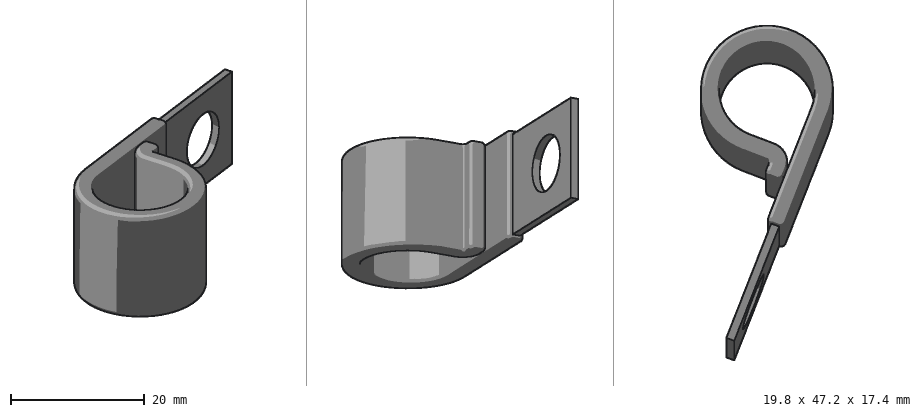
import cadquery as cq
import math


overall_length = 47.2
loop_outer_radius = 9.9
sleeve_thickness = 2.8
sleeve_width = 17.4
cover_thickness = 0.75
sleeve_end_y = 18.65
lip_bend_inner_radius = 0.4
lip_bend_x = -3.85
lip_end_y = 12.05
hole_diameter = 8.8

loop_inner_radius = loop_outer_radius - sleeve_thickness
lip_bend_outer_radius = lip_bend_inner_radius + sleeve_thickness
lip_bend_y = loop_inner_radius + lip_bend_outer_radius
lip_left_x = lip_bend_x - lip_bend_outer_radius
lip_right_x = lip_bend_x - lip_bend_inner_radius
strap_thickness = sleeve_thickness - 2 * cover_thickness
strap_width = sleeve_width - 2 * cover_thickness
tail_end_y = overall_length - loop_outer_radius
hole_y = tail_end_y - strap_width / 2
diagonal = math.sqrt(0.5)


def make_sleeve():
    """Straight leg, three-quarter loop and upturned lip, with every rim rounded."""
    outer_diagonal = loop_outer_radius * diagonal
    inner_diagonal = loop_inner_radius * diagonal
    bend_outer_diagonal = lip_bend_outer_radius * diagonal
    bend_inner_diagonal = lip_bend_inner_radius * diagonal
    blank = (
        cq.Workplane("XY")
        .workplane(offset=-sleeve_width / 2)
        .moveTo(-loop_outer_radius, sleeve_end_y)
        .lineTo(-loop_outer_radius, 0)
        .threePointArc((outer_diagonal, -outer_diagonal), (0, loop_outer_radius))
        .lineTo(lip_bend_x, loop_outer_radius)
        .threePointArc(
            (lip_bend_x - bend_inner_diagonal, lip_bend_y - bend_inner_diagonal),
            (lip_right_x, lip_bend_y),
        )
        .lineTo(lip_right_x, lip_end_y)
        .lineTo(lip_left_x, lip_end_y)
        .lineTo(lip_left_x, lip_bend_y)
        .threePointArc(
            (lip_bend_x - bend_outer_diagonal, lip_bend_y - bend_outer_diagonal),
            (lip_bend_x, loop_inner_radius),
        )
        .lineTo(0, loop_inner_radius)
        .threePointArc((inner_diagonal, -inner_diagonal), (-loop_inner_radius, 0))
        .lineTo(-loop_inner_radius, sleeve_end_y)
        .close()
        .extrude(sleeve_width)
    )
    lip_middle_y = (lip_bend_y + lip_end_y) / 2
    rim_edges = blank.faces("|Z").edges().vals()
    upright_edges = blank.edges("|Z").vals()
    end_corners = [edge for edge in upright_edges if edge.Center().y > lip_middle_y]
    return blank.newObject(rim_edges + end_corners).fillet(cover_thickness)


def make_tail():
    """Bare end of the strap, starting inside the sleeve, with its mounting hole."""
    tail = cq.Workplane("XY").box(
        strap_thickness, tail_end_y, strap_width, centered=(True, False, True)
    )
    hole = (
        cq.Workplane("YZ")
        .center(hole_y, 0)
        .circle(hole_diameter / 2)
        .extrude(strap_thickness, both=True)
    )
    strap_x = -loop_outer_radius + sleeve_thickness / 2
    return tail.cut(hole).translate((strap_x, 0, 0))


result = make_sleeve().union(make_tail())